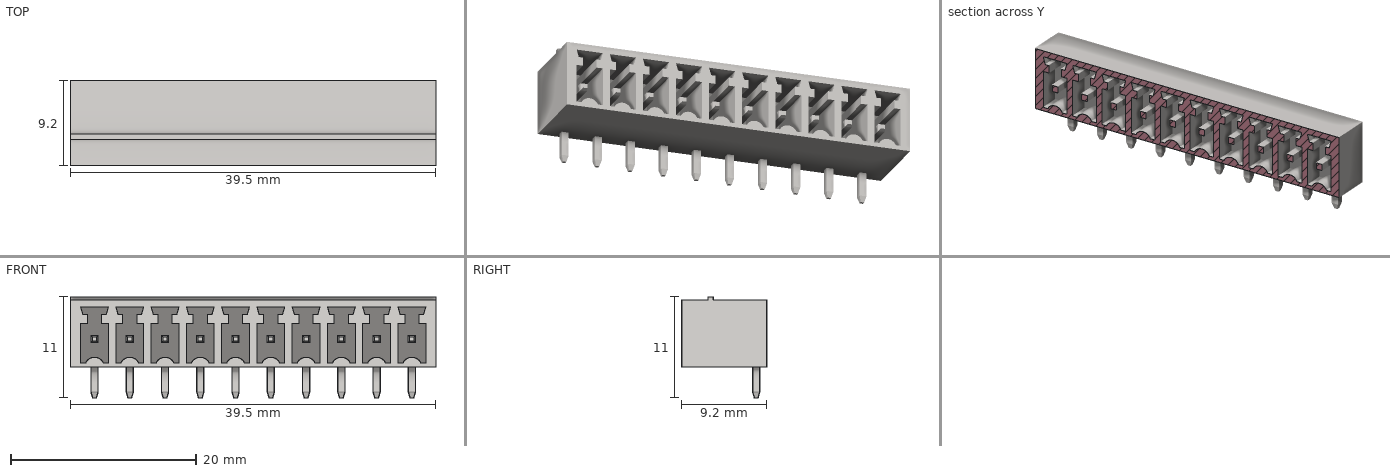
import cadquery as cq

length = 39.5
depth = 9.2
overall_height = 10.95
housing_height = 7.25
rib_height = 0.3
rib_width = 0.6
rib_front = 2.85

pole_count = 10
end_margin = 2.6
pitch = (length - 2 * end_margin) / (pole_count - 1)

socket_depth = 6.9
socket_width = 3.0
socket_floor = 0.47
shoulder_bottom = 4.75
shoulder_top = 5.7
socket_top = 6.5
neck_width = 1.55
keyway_bottom_width = 2.53
floor_hump_width = 1.9
floor_hump_height = 0.6

pin_size = 0.8
contact_height = 3.05
contact_front = 1.42
contact_tip_length = 0.47
contact_tip_size = 0.47
tail_from_back = 1.15
tail_tip_length = 0.67
tail_tip_size = 0.4
tail_length = overall_height - housing_height - rib_height


def make_housing():
    """Plain block with a narrow rib along its top face."""
    block = cq.Workplane("XY").box(length, depth, housing_height, centered=(True, False, False))
    rib = (
        cq.Workplane("XY", origin=(0, rib_front, housing_height))
        .box(length, rib_width, rib_height, centered=(True, False, False))
    )
    return block.union(rib)


def make_socket(x):
    """Blind keyed opening with a rounded hump left standing on its floor."""
    wide = socket_width / 2
    neck = neck_width / 2
    keyway = keyway_bottom_width / 2
    hump = floor_hump_width / 2
    return (
        cq.Workplane("XZ", origin=(x, 0, 0))
        .moveTo(-wide, socket_floor)
        .lineTo(-hump, socket_floor)
        .threePointArc((0, socket_floor + floor_hump_height), (hump, socket_floor))
        .lineTo(wide, socket_floor)
        .lineTo(wide, shoulder_bottom)
        .lineTo(neck, shoulder_bottom)
        .lineTo(neck, shoulder_top)
        .lineTo(keyway, shoulder_top)
        .lineTo(wide, socket_top)
        .lineTo(-wide, socket_top)
        .lineTo(-keyway, shoulder_top)
        .lineTo(-neck, shoulder_top)
        .lineTo(-neck, shoulder_bottom)
        .lineTo(-wide, shoulder_bottom)
        .close()
        .extrude(-socket_depth)
    )


def make_square_pin(root, total_length, tip_length, tip_size):
    """Square bar grown from the root workplane, ending in a tapered tip."""
    shank_length = total_length - tip_length
    shank = root.rect(pin_size, pin_size).extrude(shank_length)
    tip = (
        root.workplane(offset=shank_length)
        .rect(pin_size, pin_size)
        .workplane(offset=tip_length)
        .rect(tip_size, tip_size)
        .loft(combine=True)
    )
    return shank.union(tip)


def make_contact(x):
    """Pin standing on the back wall of the socket and pointing forward."""
    root = cq.Workplane("XZ", origin=(x, socket_depth, contact_height))
    return make_square_pin(root, socket_depth - contact_front, contact_tip_length, contact_tip_size)


def make_tail(x):
    """Solder pin hanging from the underside near the back."""
    root = cq.Workplane("XY", origin=(x, depth - tail_from_back, 0)).transformed(rotate=(180, 0, 0))
    return make_square_pin(root, tail_length, tail_tip_length, tail_tip_size)


result = make_housing()
for pole in range(pole_count):
    pole_x = -length / 2 + end_margin + pole * pitch
    result = result.cut(make_socket(pole_x))
    result = result.union(make_contact(pole_x))
    result = result.union(make_tail(pole_x))